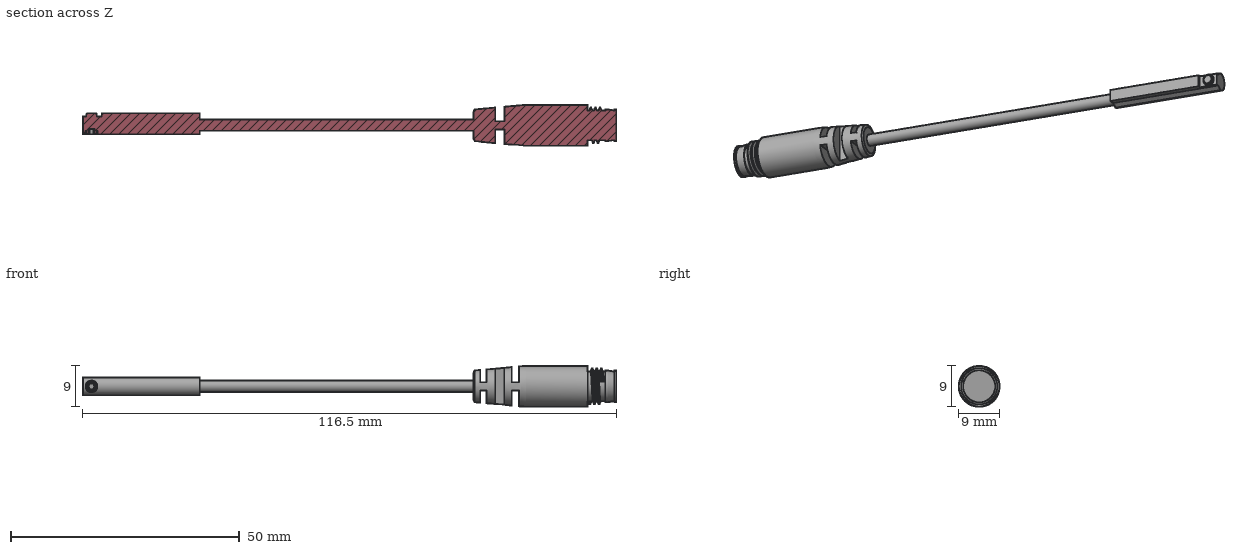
import cadquery as cq
import math

LENGTH = 116.5
SENSOR_END = 25.5
GRIP_START = 85.3
GRIP_TAPER_START = 85.5
GRIP_TAPER_END = 95.6
BODY_START = 96.7
BODY_END = 110.2
NOSE_START = 114.0
NOSE_BAND_WIDTH = 0.6
NOSE_FLANGE_WIDTH = 0.5

CABLE_RADIUS = 1.3
GRIP_FACE_RADIUS = 2.9
GRIP_RADIUS = 3.5
GRIP_SHOULDER_RADIUS = 4.4
BODY_DIAMETER = 9.0
BODY_RADIUS = BODY_DIAMETER / 2
NECK_RADIUS = 3.3
NOSE_RADIUS = 3.5

SENSOR_RADIUS = 2.0
RIB_TOP = 2.7
RIB_HALF_WIDTH = 1.3
RIB_ROOT_Y = 1.2
FLAT_START_Y = 0.1
RIB_CUTBACK = 4.1

SCREW_X = 1.9
SCREW_RADIUS = 1.2
SCREW_CHAMFER = 0.2
SCREW_GAP = 0.1
SCREW_GAP_DEPTH = 0.7
SOCKET_DIAMETER = 1.4
SOCKET_DEPTH = 1.2

WEB_HALF_THICKNESS = 0.9
SLOTS_ALONG_Z = ((86.8, 88.1), (93.7, 95.2))
SLOT_ALONG_Y = (90.0, 92.0)

THREAD_PITCH = 1.0
THREAD_RADIUS = 4.0
THREAD_START = 110.7
THREAD_TURNS = 2.7
THREAD_CREST = 0.14
THREAD_ROOT = 0.8
THREAD_OVERLAP = 0.1


def sensor_head():
    """Round bar with the rib, cut back at the free end to clear the set screw."""
    flat_start_z = math.sqrt(SENSOR_RADIUS**2 - FLAT_START_Y**2)
    section = (
        cq.Workplane("YZ")
        .moveTo(FLAT_START_Y, flat_start_z)
        .lineTo(RIB_ROOT_Y, RIB_HALF_WIDTH)
        .lineTo(RIB_TOP, RIB_HALF_WIDTH)
        .lineTo(RIB_TOP, -RIB_HALF_WIDTH)
        .lineTo(RIB_ROOT_Y, -RIB_HALF_WIDTH)
        .lineTo(FLAT_START_Y, -flat_start_z)
        .threePointArc((-SENSOR_RADIUS, 0), (FLAT_START_Y, flat_start_z))
        .close()
    )
    head = section.extrude(SENSOR_END)
    cutback = cq.Workplane("XY").box(
        RIB_CUTBACK, RIB_TOP - SENSOR_RADIUS, 2 * SENSOR_RADIUS, centered=(False, False, True)
    )
    return head.cut(cutback.translate((0, SENSOR_RADIUS, 0)))


def screw_plane():
    """Plane on the -Y side of the head, centred on the screw and facing +Y."""
    return cq.Workplane(cq.Plane((SCREW_X, -SENSOR_RADIUS, 0), (1, 0, 0), (0, 1, 0)))


def add_set_screw(head):
    """Screw standing up to the rib top, with a ring gap and hexagon socket on the -Y side."""
    ring_gap = (
        screw_plane()
        .circle(SCREW_RADIUS + SCREW_GAP)
        .circle(SCREW_RADIUS)
        .extrude(SCREW_GAP_DEPTH)
    )
    screw = screw_plane().circle(SCREW_RADIUS).extrude(SENSOR_RADIUS + RIB_TOP)
    screw = screw.faces("<Y or >Y").chamfer(SCREW_CHAMFER)
    socket = screw_plane().polygon(6, SOCKET_DIAMETER).extrude(SOCKET_DEPTH)
    return head.cut(ring_gap).union(screw).cut(socket)


def turned_body():
    """Grip, connector body, thread core and nose, turned about X."""
    outline = [
        (GRIP_START, 0),
        (GRIP_START, GRIP_FACE_RADIUS),
        (GRIP_TAPER_START, GRIP_RADIUS),
        (GRIP_TAPER_END, GRIP_SHOULDER_RADIUS),
        (BODY_START, BODY_RADIUS),
        (BODY_END, BODY_RADIUS),
        (BODY_END, NECK_RADIUS),
        (NOSE_START, NECK_RADIUS),
        (NOSE_START, NOSE_RADIUS),
        (NOSE_START + NOSE_BAND_WIDTH, NOSE_RADIUS),
        (LENGTH - NOSE_FLANGE_WIDTH, NECK_RADIUS),
        (LENGTH - NOSE_FLANGE_WIDTH, NOSE_RADIUS),
        (LENGTH, NOSE_RADIUS),
        (LENGTH, 0),
    ]
    profile = cq.Workplane("XY").polyline(outline).close()
    return profile.revolve(360, (0, 0, 0), (1, 0, 0))


def slot_pair(start, end):
    """Two blocks that cut a slot above and below the web, open towards +Z and -Z."""
    width = end - start
    depth = BODY_RADIUS - WEB_HALF_THICKNESS
    block = cq.Workplane("XY").box(width, 2 * BODY_RADIUS, depth)
    middle_x = (start + end) / 2
    middle_z = (BODY_RADIUS + WEB_HALF_THICKNESS) / 2
    upper = block.translate((middle_x, 0, middle_z))
    lower = block.translate((middle_x, 0, -middle_z))
    return upper.union(lower)


def thread_ridge():
    """Right-handed helical ridge that starts on the -Z side."""
    inner_radius = NECK_RADIUS - THREAD_OVERLAP
    height = THREAD_PITCH * THREAD_TURNS
    helix = cq.Wire.makeHelix(THREAD_PITCH, height, inner_radius)
    section = (
        cq.Workplane("XZ")
        .moveTo(inner_radius, -THREAD_ROOT / 2)
        .lineTo(THREAD_RADIUS, -THREAD_CREST / 2)
        .lineTo(THREAD_RADIUS, THREAD_CREST / 2)
        .lineTo(inner_radius, THREAD_ROOT / 2)
        .close()
    )
    ridge = section.sweep(cq.Workplane(helix), isFrenet=True)
    return ridge.rotate((0, 0, 0), (0, 1, 0), 90).translate((THREAD_START, 0, 0))


head = add_set_screw(sensor_head())

cable = (
    cq.Workplane("YZ", origin=(SENSOR_END, 0, 0))
    .circle(CABLE_RADIUS)
    .extrude(GRIP_START - SENSOR_END)
)

connector = turned_body()
for start, end in SLOTS_ALONG_Z:
    connector = connector.cut(slot_pair(start, end))
connector = connector.cut(slot_pair(*SLOT_ALONG_Y).rotate((0, 0, 0), (1, 0, 0), 90))
connector = connector.union(thread_ridge())

result = head.union(cable).union(connector)